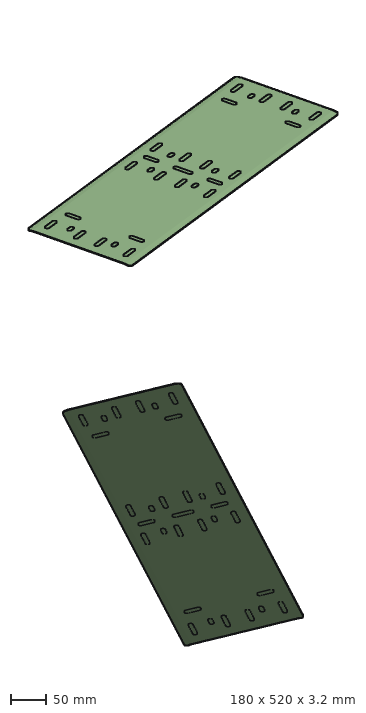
import cadquery as cq
import math

width = 180.0
length = 520.0
total_height = 3.2

thickness = 1.5
flange_width = 10.0
flange_angle = math.radians(8.5)
inner_bend_radius = 1.5
outer_bend_radius = inner_bend_radius + thickness
corner_radius = 5.0

pad_width = 7.0
pad_length = 25.0
short_pad_length = 12.25
centre_pad_length = 32.0

long_pad_columns = (18.0, 68.0)
short_pad_column = 38.25
cross_pad_column = 55.0
cross_pad_row = 194.5
inner_row_start = 19.0
row_pitch = 200.0
row_starts = (inner_row_start, inner_row_start + row_pitch)

half_width = width / 2
bend_x = half_width - flange_width
lower_bend_x = bend_x - thickness * math.tan(flange_angle / 2)
flange_drop = flange_width * math.tan(flange_angle)
lower_edge_x = half_width - thickness * math.sin(flange_angle)
sheet_bottom = -flange_drop - thickness * math.cos(flange_angle)
pad_top = sheet_bottom + total_height
pad_root = -thickness / 2


def bent_sheet():
    """Flat plate with both long edges bent slightly downwards."""
    sheet = (
        cq.Workplane("XZ")
        .moveTo(-bend_x, 0)
        .lineTo(bend_x, 0)
        .lineTo(half_width, -flange_drop)
        .lineTo(lower_edge_x, sheet_bottom)
        .lineTo(lower_bend_x, -thickness)
        .lineTo(-lower_bend_x, -thickness)
        .lineTo(-lower_edge_x, sheet_bottom)
        .lineTo(-half_width, -flange_drop)
        .close()
        .extrude(length / 2, both=True)
    )
    bends = (
        (bend_x, 0, outer_bend_radius),
        (lower_bend_x, -thickness, inner_bend_radius),
    )
    for x, z, radius in bends:
        for side in (-1, 1):
            bend_line = cq.selectors.NearestToPointSelector((side * x, 0, z))
            sheet = sheet.edges("|Y").edges(bend_line).fillet(radius)
    return sheet


def rounded_outline():
    """Block taller than the part, with the rounded plan outline of the sheet."""
    return (
        cq.Workplane("XY")
        .rect(width, length)
        .extrude(total_height, both=True)
        .edges("|Z")
        .fillet(corner_radius)
    )


def pads(centres, size, angle):
    """Obround pads of one length, all turned to the same angle from X."""
    return (
        cq.Workplane("XY", origin=(0, 0, pad_root))
        .pushPoints(centres)
        .slot2D(size, pad_width, angle)
        .extrude(pad_top - pad_root)
    )


def mirrored(columns, rows):
    """Every column and row position, repeated on both sides of both centre lines."""
    signs = (-1, 1)
    return [(sx * x, sy * y) for x in columns for y in rows for sx in signs for sy in signs]


def row_centres(size):
    """Centre distances of lengthwise pads of one length, which share their near ends."""
    return [start + size / 2 for start in row_starts]


long_centres = mirrored(long_pad_columns, row_centres(pad_length))
short_centres = mirrored([short_pad_column], row_centres(short_pad_length))
cross_centres = mirrored([cross_pad_column], [cross_pad_row])
cross_centres += [(-cross_pad_column, 0), (cross_pad_column, 0)]

pad_groups = (
    (long_centres, pad_length, 90),
    (short_centres, short_pad_length, 90),
    (cross_centres, pad_length, 0),
    ([(0, 0)], centre_pad_length, 0),
)

result = bent_sheet().intersect(rounded_outline())
for centres, size, angle in pad_groups:
    result = result.union(pads(centres, size, angle))